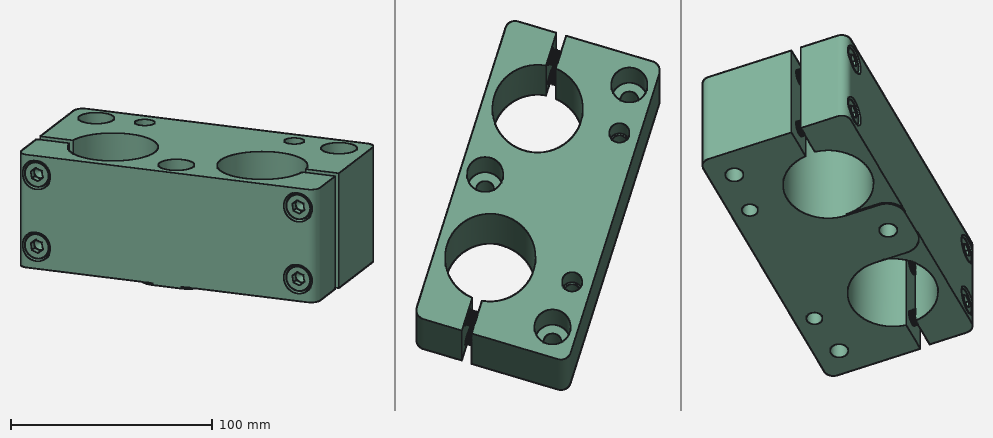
import cadquery as cq
import math

length = 160.0
width = 80.0
height = 60.0
corner_radius = 5.0
front_y = -width / 2

bore_diameter = 45.0
bore_spacing = 80.0
bore_y = -12.5
slit_width = 5.0
bore_places = [(-bore_spacing / 2, bore_y), (bore_spacing / 2, bore_y)]

relief_depth = 1.0
foot_width = bore_spacing - bore_diameter
foot_corner_radius = 10.0

mount_hole_diameter = 9.0
mount_counterbore_diameter = 18.0
mount_counterbore_depth = 30.0
mount_x = 65.0
mount_back_y = 27.5
mount_front_y = -27.5
mount_places = [(-mount_x, mount_back_y), (mount_x, mount_back_y), (0, mount_front_y)]

step_hole_diameter = 8.0
step_hole_mouth_diameter = 10.0
step_hole_mouth_depth = 20.0
step_hole_y = 30.0
step_hole_places = [(-bore_spacing / 2, step_hole_y), (bore_spacing / 2, step_hole_y)]

screw_x = 70.0
screw_low_z = 12.5
screw_high_z = 50.0
screw_diameter = 8.0
screw_length = 30.0
thread_root_diameter = 6.8
thread_pitch = 1.0
head_diameter = 13.0
head_height = screw_diameter
head_edge_chamfer = 0.2
socket_flats = 6.0
socket_turn = 10.0
socket_depth = 4.0
socket_cone_slope = 30.0
socket_cone_depth = socket_flats / 2 * math.tan(math.radians(socket_cone_slope))
screw_places = [(x, z) for x in (-screw_x, screw_x) for z in (screw_low_z, screw_high_z)]

seat_diameter = 15.0
seat_depth = 8.7
clearance_diameter = 9.0
seat_y = front_y + seat_depth


def y_cylinder(diameter, start_y, end_y):
    """Cylinder about the Y axis between two Y positions."""
    plane = cq.Workplane("XZ", origin=(0, start_y, 0))
    return plane.circle(diameter / 2).extrude(start_y - end_y)


def make_bottom_relief():
    """Thin layer under the clamping side, without the round-cornered foot."""
    relief_width = bore_y - front_y
    layer = cq.Workplane("XY").box(length, relief_width, relief_depth, centered=(True, False, False))
    foot = cq.Workplane("XY").box(foot_width, relief_width, relief_depth, centered=(True, False, False))
    foot = foot.edges("|Z and <Y").fillet(foot_corner_radius)
    return layer.cut(foot).translate((0, front_y, 0))


def make_screw_hole():
    """Seat for the head, clearance into the slit, then the hole that holds the thread."""
    seat = y_cylinder(seat_diameter, front_y, seat_y)
    clearance = y_cylinder(clearance_diameter, seat_y, bore_y)
    thread_hole = y_cylinder(screw_diameter, bore_y, seat_y + screw_length)
    return seat.union(clearance).union(thread_hole)


def make_block():
    block = cq.Workplane("XY").box(length, width, height, centered=(True, True, False))
    block = block.edges("|Z").fillet(corner_radius)

    bores = cq.Workplane("XY").pushPoints(bore_places).circle(bore_diameter / 2).extrude(height)
    block = block.cut(bores)
    slit_length = (length - bore_spacing) / 2
    for side in (-1, 1):
        slit_x = side * (length - slit_length) / 2
        slit = cq.Workplane("XY").center(slit_x, bore_y).rect(slit_length, slit_width).extrude(height)
        block = block.cut(slit)

    block = block.cut(make_bottom_relief())

    top = cq.Workplane("XY", origin=(0, 0, height))
    block = block.cut(top.pushPoints(mount_places).circle(mount_hole_diameter / 2).extrude(-height))
    block = block.cut(
        top.pushPoints(mount_places).circle(mount_counterbore_diameter / 2).extrude(-mount_counterbore_depth)
    )
    block = block.cut(top.pushPoints(step_hole_places).circle(step_hole_diameter / 2).extrude(-height))
    block = block.cut(
        top.pushPoints(step_hole_places).circle(step_hole_mouth_diameter / 2).extrude(-step_hole_mouth_depth)
    )

    screw_hole = make_screw_hole()
    for x, z in screw_places:
        block = block.cut(screw_hole.translate((x, 0, z)))
    return block


def make_screw():
    """Socket head cap screw on the Y axis with ring-shaped thread ridges."""
    head_y = seat_y - head_height
    head = y_cylinder(head_diameter, head_y, seat_y).faces("<Y").edges().chamfer(head_edge_chamfer)

    socket_plane = cq.Workplane("XZ", origin=(0, head_y, 0)).transformed(rotate=(0, 0, socket_turn))
    socket = socket_plane.polygon(6, socket_flats, circumscribed=True).extrude(-socket_depth)
    cone_start = head_y + socket_depth
    socket_tip = (
        cq.Workplane("XY")
        .moveTo(0, cone_start)
        .lineTo(socket_flats / 2, cone_start)
        .lineTo(0, cone_start + socket_cone_depth)
        .close()
        .revolve(360, (0, 0, 0), (0, 1, 0))
    )
    head = head.cut(socket).cut(socket_tip)

    root = thread_root_diameter / 2
    crest = screw_diameter / 2
    ridge_count = round(screw_length / thread_pitch)
    profile = cq.Workplane("XY").moveTo(0, seat_y).lineTo(root, seat_y)
    for ridge in range(ridge_count):
        ridge_y = seat_y + ridge * thread_pitch
        profile = profile.lineTo(crest, ridge_y + thread_pitch / 2).lineTo(root, ridge_y + thread_pitch)
    shank = profile.lineTo(0, seat_y + screw_length).close().revolve(360, (0, 0, 0), (0, 1, 0))
    return head.union(shank)


block = make_block()
screw = make_screw()
screws = [screw.translate((x, 0, z)) for x, z in screw_places]

result = cq.Compound.makeCompound([block.val(), *[placed.val() for placed in screws]])